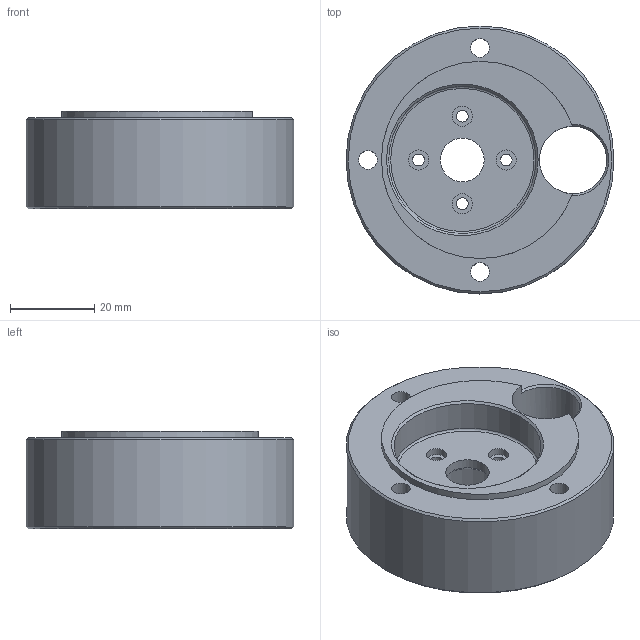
import cadquery as cq

drum_diameter = 63.6
total_height = 23.2
boss_height = 1.6
boss_diameter = 46.8
drum_chamfer = 0.5
flange_z = total_height - boss_height

pocket_x = -4.2
pocket_diameter = 35.0
pocket_depth = 8.1
pocket_rim_chamfer = 0.5
pocket_floor_fillet = 0.5
floor_z = total_height - pocket_depth

bore_diameter = 10.4
bore_chamfer = 1.0
web_thickness = 3.3
chamber_diameter = 30.0
chamber_top_z = floor_z - web_thickness

screw_circle_diameter = 20.8
screw_count = 4
screw_hole_diameter = 2.8
counterbore_diameter = 4.8
counterbore_depth = 1.7

mount_circle_radius = 26.6
mount_hole_diameter = 4.4
mount_angles = (90, 180, 270)

side_hole_x = 22.1
side_hole_diameter = 16.0
side_hole_chamfer = 0.5


def cylinder(diameter, bottom_z, top_z, x=0):
    """Upright cylinder between two heights, centred at (x, 0)."""
    return cq.Workplane("XY", origin=(x, 0, bottom_z)).circle(diameter / 2).extrude(top_z - bottom_z)


def make_body():
    drum = cylinder(drum_diameter, 0, flange_z).faces("<Z or >Z").edges().chamfer(drum_chamfer)
    drum = drum.cut(cylinder(side_hole_diameter, 0, flange_z, side_hole_x))
    side_rim = cq.selectors.RadiusNthSelector(0)
    drum = drum.faces(">Z").edges(side_rim).chamfer(side_hole_chamfer)
    boss = cylinder(boss_diameter, flange_z - side_hole_chamfer, total_height)
    boss = boss.cut(cylinder(side_hole_diameter, 0, total_height, side_hole_x))
    return drum.union(boss)


def make_pocket():
    """Pocket void: a half profile revolved about the pocket axis."""
    radius = pocket_diameter / 2
    profile = (
        cq.Workplane("XZ", origin=(pocket_x, 0, 0))
        .moveTo(0, floor_z)
        .lineTo(radius - pocket_floor_fillet, floor_z)
        .radiusArc((radius, floor_z + pocket_floor_fillet), -pocket_floor_fillet)
        .lineTo(radius, total_height - pocket_rim_chamfer)
        .lineTo(radius + pocket_rim_chamfer, total_height)
        .lineTo(0, total_height)
        .close()
    )
    return profile.revolve(360, (0, 0), (0, 1))


def make_bore():
    """Void below the pocket floor: the bore, its chamfered lower edge and the chamber."""
    bore_radius = bore_diameter / 2
    chamber_radius = chamber_diameter / 2
    profile = (
        cq.Workplane("XZ", origin=(pocket_x, 0, 0))
        .lineTo(chamber_radius, 0)
        .lineTo(chamber_radius, chamber_top_z)
        .lineTo(bore_radius + bore_chamfer, chamber_top_z)
        .lineTo(bore_radius, chamber_top_z + bore_chamfer)
        .lineTo(bore_radius, floor_z)
        .lineTo(0, floor_z)
        .close()
    )
    return profile.revolve(360, (0, 0), (0, 1))


def drill_screw_holes(body):
    return (
        body.copyWorkplane(cq.Workplane("XY", origin=(pocket_x, 0, floor_z)))
        .polarArray(screw_circle_diameter / 2, 0, 360, screw_count)
        .cboreHole(screw_hole_diameter, counterbore_diameter, counterbore_depth)
    )


def drill_mounting_holes(body):
    for angle in mount_angles:
        hole = cylinder(mount_hole_diameter, 0, flange_z, mount_circle_radius)
        body = body.cut(hole.rotate((0, 0, 0), (0, 0, 1), angle))
    return body


result = make_body().cut(make_pocket()).cut(make_bore())
result = drill_screw_holes(result)
result = drill_mounting_holes(result)